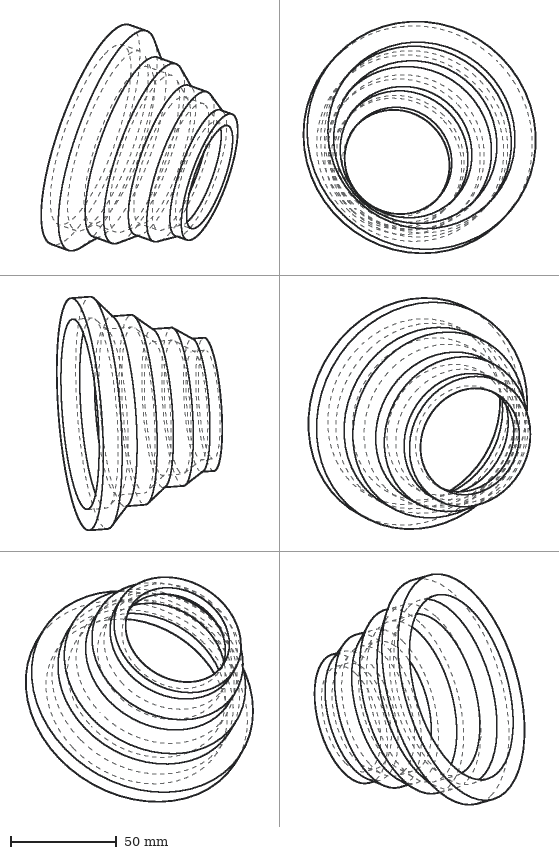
import cadquery as cq

tiers = [(55.0, 45.0), (45.0, 39.3), (37.5, 31.7), (31.6, 25.7)]

overall_length = 62.0
outer_spans = [(0.0, 9.0), (18.3, 27.9), (37.3, 46.9), (56.1, overall_length)]

first_bore_cone_end = 15.0
bore_spans = list(outer_spans)
bore_spans[1] = (first_bore_cone_end, outer_spans[1][1])

outer_wall = []
bore_wall = []
for (outer_radius, bore_radius), outer_span, bore_span in zip(tiers, outer_spans, bore_spans):
    outer_wall += [(x, outer_radius) for x in outer_span]
    bore_wall += [(x, bore_radius) for x in bore_span]

wall_profile = cq.Workplane("XY").polyline(outer_wall + bore_wall[::-1]).close()

result = wall_profile.revolve(360, (0, 0, 0), (1, 0, 0))